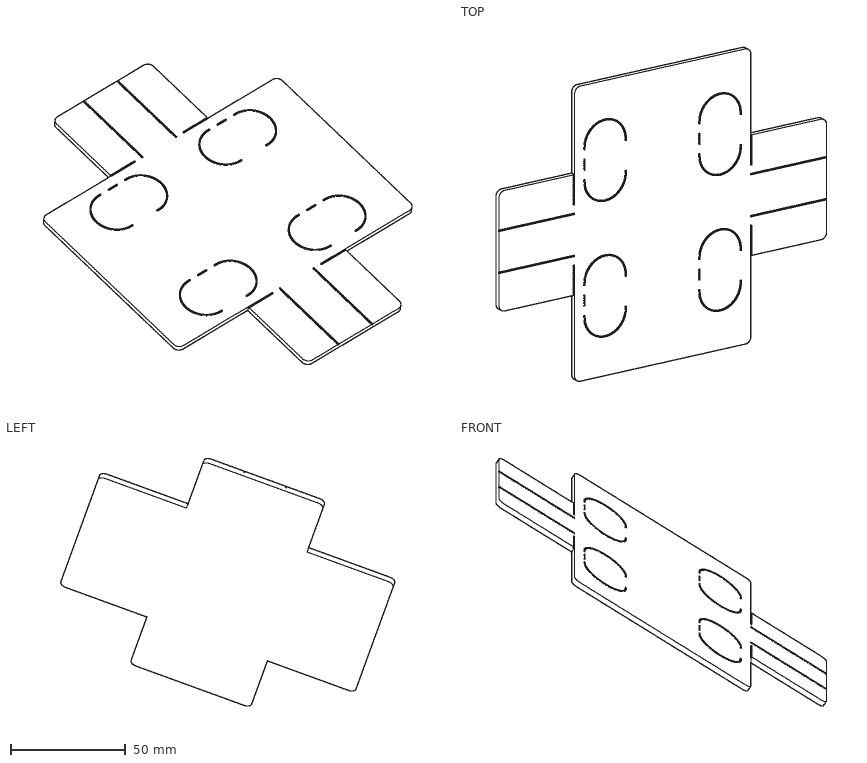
import cadquery as cq

thickness = 2.5
body_length = 92.0
body_width = 137.0
tab_span = 171.0
tab_width = 56.0
corner_radius = 3.0

groove_width = 0.5
groove_depth = 0.5
tab_groove_spacing = 19.5
root_groove_gap = 4.0

patch_width = 21.5
patch_length = 37.5
patch_spacing_x = 60.0
patch_spacing_y = 63.0
patch_side_gap = 14.0
patch_dash_length = 5.0

tilt_about_y = 33.345
tilt_about_x = 20.0

groove_floor = thickness - groove_depth


def rounded_plate(length, width):
    """Rectangular plate with rounded corners."""
    return cq.Workplane("XY").rect(length, width).extrude(thickness).edges("|Z").fillet(corner_radius)


def straight_cutter(length, width, center):
    """Bar that cuts a straight groove."""
    floor = cq.Workplane("XY", origin=(0, 0, groove_floor))
    return floor.center(*center).rect(length, width).extrude(groove_depth)


def obround_cutter(offset):
    """Solid obround, grown from the patch outline by the offset, its length along Y."""
    floor = cq.Workplane("XY", origin=(0, 0, groove_floor))
    length = patch_length + 2 * offset
    width = patch_width + 2 * offset
    return floor.slot2D(length, width, angle=90).extrude(groove_depth)


def patch_cutter():
    """Obround groove, interrupted along both long sides, with a dash on the -X side."""
    ring = obround_cutter(groove_width / 2).cut(obround_cutter(-groove_width / 2))
    gap_span = patch_width + 2 * groove_width
    ring = ring.cut(straight_cutter(gap_span, patch_side_gap, (0, 0)))
    return ring.union(straight_cutter(groove_width, patch_dash_length, (-patch_width / 2, 0)))


def cut_patches(plate):
    """The obround grooves, in a two by two pattern about the plate's centre."""
    cutter = patch_cutter()
    for x in (-patch_spacing_x / 2, patch_spacing_x / 2):
        for y in (-patch_spacing_y / 2, patch_spacing_y / 2):
            plate = plate.cut(cutter.translate((x, y, 0)))
    return plate


def cut_tab_grooves(plate):
    """Two grooves along each tab, open at its tip, and two across its root, open at its sides."""
    along_start = body_length / 2
    across_x = along_start + groove_width / 2
    along_length = tab_span / 2 - along_start
    across_start = (tab_groove_spacing + groove_width) / 2 + root_groove_gap
    across_length = tab_width / 2 - across_start
    for side_x in (-1, 1):
        for side_y in (-1, 1):
            along_center = (side_x * (along_start + along_length / 2), side_y * tab_groove_spacing / 2)
            across_center = (side_x * across_x, side_y * (across_start + across_length / 2))
            plate = plate.cut(straight_cutter(along_length, groove_width, along_center))
            plate = plate.cut(straight_cutter(groove_width, across_length, across_center))
    return plate


flat = rounded_plate(body_length, body_width).union(rounded_plate(tab_span, tab_width))
flat = cut_tab_grooves(cut_patches(flat))

tilted = flat.rotate((0, 0, 0), (0, 1, 0), tilt_about_y)
result = tilted.rotate((0, 0, 0), (1, 0, 0), tilt_about_x)